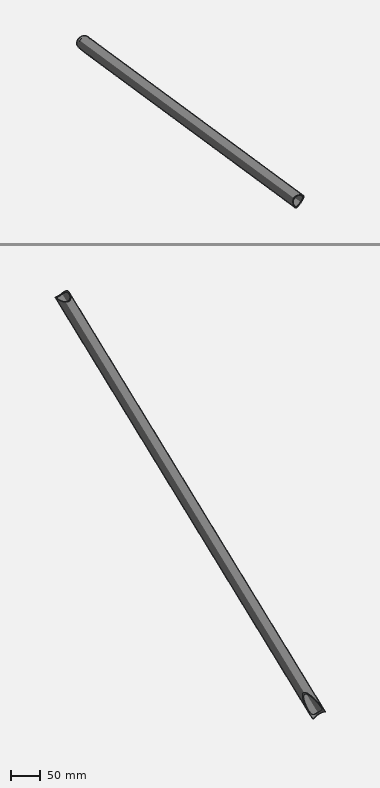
import cadquery as cq

tube_diameter = 24.9773
wall_thickness = 2.0
strut_length = 870.6691
strut_direction = cq.Vector(1.0, -0.2458, 0.4122).normalized()

low_tube_diameter = 25.7949
low_tube_direction = cq.Vector(1.0, -0.1641, -0.0677).normalized()
low_tube_offset = 0.0723

high_tube_diameter = 30.805
high_tube_direction = cq.Vector(0.04, -0.73, 1.0002).normalized()
high_tube_offset = -0.4857

cutter_length = 12 * tube_diameter

low_node = strut_direction * (-strut_length / 2)
high_node = strut_direction * (strut_length / 2)


def cylinder(start, direction, length, diameter):
    """Solid round bar from a start point along a direction."""
    return cq.Solid.makeCylinder(diameter / 2, length, start, direction)


def make_tube():
    """Hollow strut running between the two nodes, with square ends."""
    bore_diameter = tube_diameter - 2 * wall_thickness
    outside = cylinder(low_node, strut_direction, strut_length, tube_diameter)
    bore = cylinder(low_node, strut_direction, strut_length, bore_diameter)
    return outside.cut(bore)


def neighbour(node, direction, offset, diameter):
    """Bar filling the space of a neighbouring tube, centred beside its node."""
    sideways = strut_direction.cross(direction).normalized()
    middle = node + sideways * offset
    start = middle - direction * (cutter_length / 2)
    return cylinder(start, direction, cutter_length, diameter)


low_cutter = neighbour(low_node, low_tube_direction, low_tube_offset, low_tube_diameter)
high_cutter = neighbour(high_node, high_tube_direction, high_tube_offset, high_tube_diameter)

coped_strut = make_tube().cut(low_cutter).cut(high_cutter)
result = cq.Workplane(obj=coped_strut)